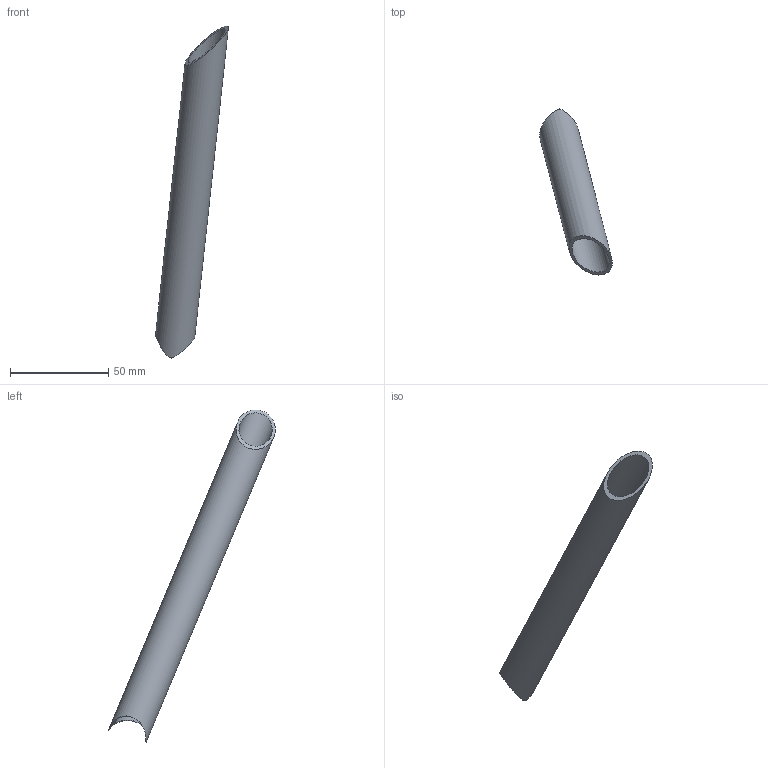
import cadquery as cq
outer_radius = 10.0
wall = 1.5
inner_radius = outer_radius - wall
node_distance = 170.85
end_allowance = 40.0
cutter_size = 120.0

tube_direction = cq.Vector(0.1087, -0.4186, 1).normalized()
upper_tube_direction = cq.Vector(1, 0, 0)
cope_direction = cq.Vector(1, -0.0916, -0.126).normalized()

cope_radius = 10.0754
cope_offset = 0.0734

lower_node = cq.Vector(0, 0, 0)
upper_node = lower_node + tube_direction * node_distance


def make_tube():
    """Straight tube running past both nodes."""
    start = lower_node - tube_direction * end_allowance
    length = node_distance + 2 * end_allowance
    plane = cq.Plane(origin=start, normal=tube_direction)
    return cq.Workplane(plane).circle(outer_radius).circle(inner_radius).extrude(length)


def make_mitre_cutter():
    """Block beyond the plane that bisects this tube and one running along X."""
    plane = cq.Plane(origin=upper_node, normal=tube_direction - upper_tube_direction)
    return cq.Workplane(plane).rect(cutter_size, cutter_size).extrude(cutter_size)


def make_cope_cutter():
    """Cylinder crossing the tube at the lower node."""
    sideways = cope_direction.cross(tube_direction).normalized()
    start = lower_node + sideways * cope_offset - cope_direction * (cutter_size / 2)
    plane = cq.Plane(origin=start, normal=cope_direction)
    return cq.Workplane(plane).circle(cope_radius).extrude(cutter_size)


trimmed = make_tube().cut(make_mitre_cutter()).cut(make_cope_cutter())

result = trimmed.solids(">Z")